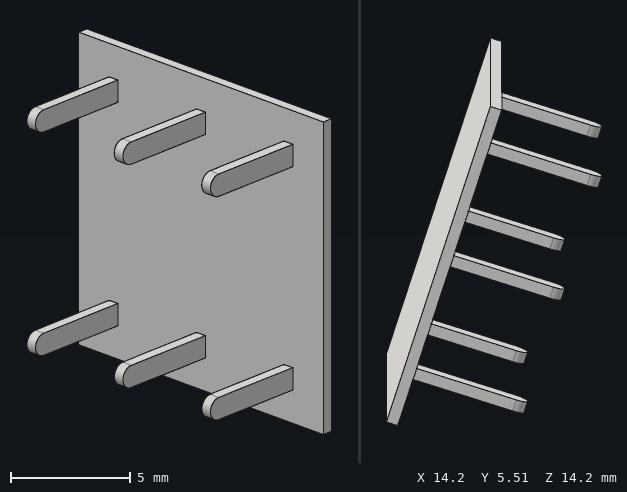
import cadquery as cq

plate_side = 14.224
plate_thickness = 0.508

pin_width = 0.508
pin_height = 1.016
pin_length = 5.0
pins_per_row = 3
pin_pitch = 5.08
row_spacing = 10.16


def make_plate():
    """Plate whose pin side lies on the plane Y = 0."""
    plate = cq.Workplane("XY").box(plate_side, plate_thickness, plate_side)
    return plate.translate((0, plate_thickness / 2, 0))


def make_pin(x, z):
    """Pin running from the plate towards -Y, ending in a half-round tip."""
    half_height = pin_height / 2
    tip_start = -(pin_length - half_height)
    profile = (
        cq.Workplane("YZ")
        .moveTo(plate_thickness, half_height)
        .lineTo(tip_start, half_height)
        .threePointArc((-pin_length, 0), (tip_start, -half_height))
        .lineTo(plate_thickness, -half_height)
        .close()
    )
    return profile.extrude(pin_width / 2, both=True).translate((x, 0, z))


result = make_plate()
for z in (-row_spacing / 2, row_spacing / 2):
    for column in range(pins_per_row):
        x = (column - (pins_per_row - 1) / 2) * pin_pitch
        result = result.union(make_pin(x, z))
result = result.clean()